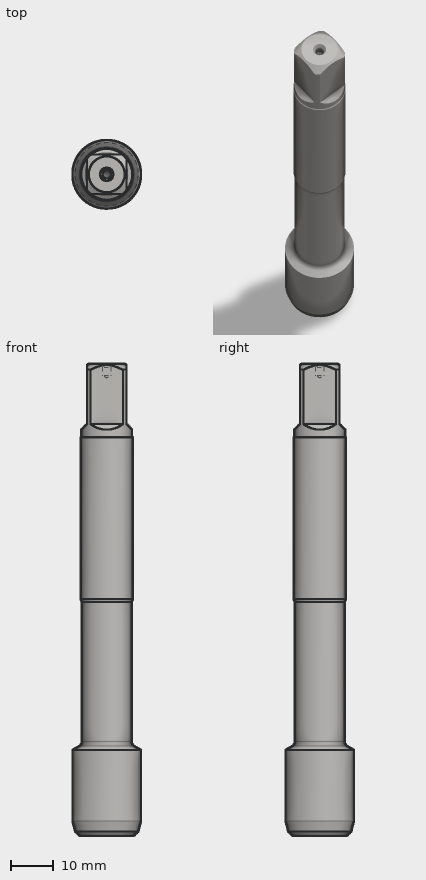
import cadquery as cq
import math

total_length = 110.0

head_radius = 16.1 / 2
head_top = 20.0
lead_top = 3.5
lead_radius = 7.4
tip_chamfer = 1.1

neck_radius = 11.7 / 2
shoulder_angle = math.radians(30)
shoulder_fillet = 1.2

shank_radius = 12.2 / 2
shank_bottom = 54.5
shank_top = 93.0
shank_lower_taper = 0.8
shank_upper_taper = 0.2

drive_radius = 11.9 / 2
square_width = 9.2
square_bottom = 95.9
end_radius = 4.2
end_cone_height = 1.4

center_hole_radius = 2.0 / 2
center_sink_radius = 1.5
center_sink_angle = math.radians(60)
center_hole_depth = 2.8
drill_point_angle = math.radians(118)


def revolve_profile(sketch):
    """Revolve a closed XZ half-profile around the Z axis."""
    return sketch.close().revolve(360, (0, 0, 0), (0, 1, 0))


def make_cutting_head():
    profile = (
        cq.Workplane("XZ")
        .lineTo(lead_radius - tip_chamfer, 0)
        .lineTo(lead_radius, tip_chamfer)
        .lineTo(head_radius, lead_top)
        .lineTo(head_radius, head_top)
        .lineTo(0, head_top)
    )
    return revolve_profile(profile)


def make_round_shank():
    turn = math.pi / 2 - shoulder_angle
    fillet_center_x = neck_radius + shoulder_fillet
    fillet_foot_x = fillet_center_x - shoulder_fillet * math.cos(turn)
    fillet_foot_z = head_top + (head_radius - fillet_foot_x) * math.tan(shoulder_angle)
    fillet_center_z = fillet_foot_z + shoulder_fillet * math.sin(turn)
    fillet_mid_x = fillet_center_x - shoulder_fillet * math.cos(turn / 2)
    fillet_mid_z = fillet_center_z - shoulder_fillet * math.sin(turn / 2)

    profile = (
        cq.Workplane("XZ")
        .moveTo(0, head_top)
        .lineTo(head_radius, head_top)
        .lineTo(fillet_foot_x, fillet_foot_z)
        .threePointArc((fillet_mid_x, fillet_mid_z), (neck_radius, fillet_center_z))
        .lineTo(neck_radius, shank_bottom)
        .lineTo(shank_radius, shank_bottom + shank_lower_taper)
        .lineTo(shank_radius, shank_top - shank_upper_taper)
        .lineTo(drive_radius, shank_top)
        .lineTo(drive_radius, total_length - end_cone_height)
        .lineTo(end_radius, total_length)
        .lineTo(0, total_length)
    )
    return revolve_profile(profile)


def make_square_envelope():
    """Square bar that flares at 45 degrees below the flats and then encloses the shank."""
    flare = shank_radius - square_width / 2
    flare_bottom = square_bottom - flare
    full_width = 2 * shank_radius
    flare_solid = (
        cq.Workplane("XY")
        .workplane(offset=flare_bottom)
        .rect(full_width, full_width)
        .workplane(offset=flare)
        .rect(square_width, square_width)
        .loft(ruled=True)
    )
    bar = (
        cq.Workplane("XY")
        .workplane(offset=square_bottom)
        .rect(square_width, square_width)
        .extrude(total_length - square_bottom)
    )
    base = (
        cq.Workplane("XY")
        .rect(2 * head_radius, 2 * head_radius)
        .extrude(flare_bottom)
    )
    return base.union(flare_solid).union(bar)


def make_center_hole():
    sink_depth = (center_sink_radius - center_hole_radius) / math.tan(center_sink_angle / 2)
    point_depth = center_hole_radius / math.tan(drill_point_angle / 2)
    hole_bottom = total_length - center_hole_depth
    profile = (
        cq.Workplane("XZ")
        .moveTo(0, total_length)
        .lineTo(center_sink_radius, total_length)
        .lineTo(center_hole_radius, total_length - sink_depth)
        .lineTo(center_hole_radius, hole_bottom)
        .lineTo(0, hole_bottom - point_depth)
    )
    return revolve_profile(profile)


def make_shank():
    return make_round_shank().intersect(make_square_envelope()).cut(make_center_hole())


cutting_head = make_cutting_head()
shank = make_shank()

result = cq.Compound.makeCompound([cutting_head.val(), *shank.solids().vals()])